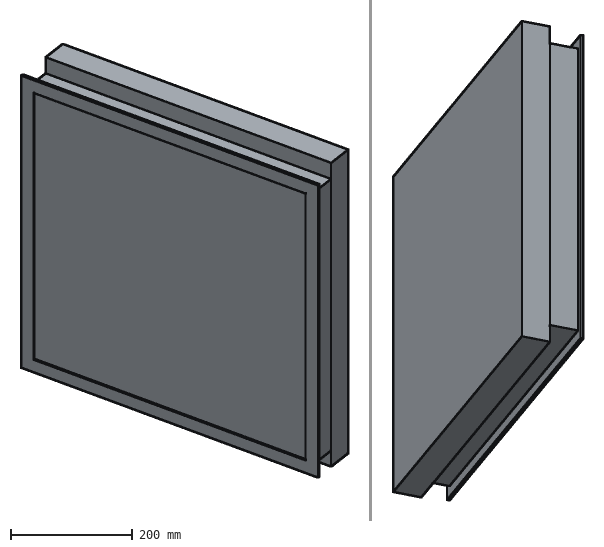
import cadquery as cq

outer_side = 595.0
total_depth = 105.0

box_width = 572.5
box_height = outer_side
box_depth = 50.0

flange_width = outer_side
flange_height = box_width
flange_thickness = 5.0
neck_width = box_width
neck_height = 532.0
neck_depth = total_depth - box_depth - flange_thickness
recess_border = 25.0
recess_depth = 3.0


def centered_block(width, height, depth, front_y):
    """Block centered in X and Z that extends toward +Y from front_y."""
    return cq.Workplane("XY").box(width, depth, height).translate((0, front_y + depth / 2, 0))


def make_rear_box():
    """Plain rectangular box behind the cover."""
    return centered_block(box_width, box_height, box_depth, total_depth - box_depth)


def make_front_cover():
    """Flange and neck in one piece, with a rectangular recess in the front face."""
    flange = centered_block(flange_width, flange_height, flange_thickness, 0)
    neck = centered_block(neck_width, neck_height, neck_depth, flange_thickness)
    recess = centered_block(
        flange_width - 2 * recess_border,
        flange_height - 2 * recess_border,
        recess_depth,
        0,
    )
    return flange.union(neck).cut(recess)


rear_box = make_rear_box()
front_cover = make_front_cover()

result = cq.Compound.makeCompound([rear_box.val(), front_cover.val()])